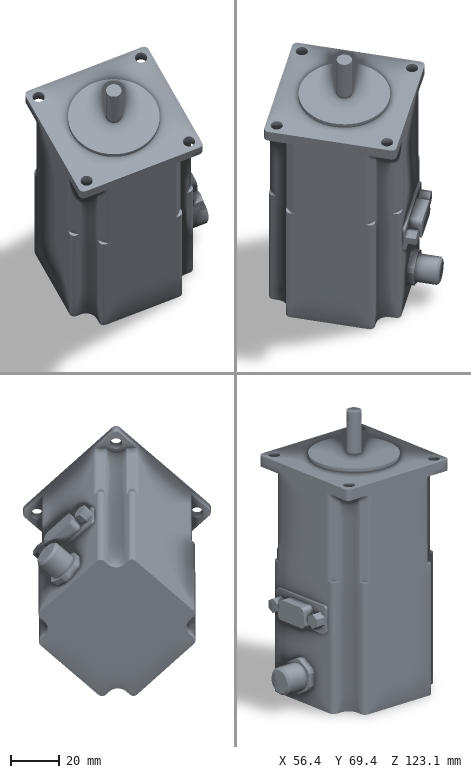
import cadquery as cq
import math

width = 56.4
half_width = width / 2
total_height = 123.1
flange_bottom = 97.4
flange_top = 102.3
flange_corner_radius = 2.1
pilot_diameter = 38.2
pilot_top = 104.1
shaft_diameter = 6.4

hole_diameter = 5.0
hole_offset = 23.5
groove_center = 23.9
groove_radius = 4.9
groove_wall = groove_center - groove_radius

ledge_height = 58.3
ridge_radius = 2.1
bevel_size = 3.2
bevel_blend_radius = 2.2
bevel_start = groove_wall - bevel_size

round_connector_height = 12.5
nut_across_flats = 14.3
nut_corner_diameter = 15.4
nut_length = 3.1
barrel_diameter = 12.0
barrel_length = 13.0
barrel_chamfer = 1.0

d_connector_height = 41.0
plate_width = 31.1
plate_height = 12.7
plate_thickness = 1.2
plate_corner_radius = 1.5
shell_top_width = 14.8
shell_bottom_width = 17.5
shell_height = 9.0
shell_length = 6.5
shell_corner_radius = 2.0
screw_spacing = 25.0
screw_across_flats = 5.5
screw_length = 5.8


def ridge_edges(body, offset):
    """Vertical edges on the outer faces, at the given distance from the middle of the face."""
    def is_match(edge):
        middle = edge.Center()
        near, far = sorted((abs(middle.x), abs(middle.y)))
        return math.isclose(near, offset, abs_tol=0.01) and math.isclose(far, half_width, abs_tol=0.01)

    return body.edges("|Z").filter(is_match)


def grooved_bar(bottom, top):
    """Square bar with a quarter-round groove in each corner."""
    length = top - bottom
    bar = cq.Workplane("XY").workplane(offset=bottom).rect(width, width).extrude(length)
    arc_middle = groove_center - groove_radius * math.sqrt(0.5)
    groove = (
        cq.Workplane("XY")
        .workplane(offset=bottom)
        .moveTo(half_width, groove_wall)
        .lineTo(groove_center, groove_wall)
        .threePointArc((arc_middle, arc_middle), (groove_wall, groove_center))
        .lineTo(groove_wall, half_width)
        .lineTo(half_width, half_width)
        .close()
        .extrude(length)
    )
    for corner in range(4):
        bar = bar.cut(groove.rotate((0, 0, 0), (0, 0, 1), 90 * corner))
    return bar


def lower_body():
    bar = grooved_bar(0, ledge_height)
    return ridge_edges(bar, groove_wall).fillet(ridge_radius)


def upper_body():
    bar = grooved_bar(ledge_height, flange_bottom)
    bar = ridge_edges(bar, groove_wall).chamfer(bevel_size)
    return ridge_edges(bar, bevel_start).fillet(bevel_blend_radius)


def flange():
    return (
        cq.Workplane("XY")
        .workplane(offset=flange_bottom)
        .rect(width, width)
        .extrude(flange_top - flange_bottom)
        .edges("|Z")
        .fillet(flange_corner_radius)
        .faces(">Z")
        .workplane()
        .rect(2 * hole_offset, 2 * hole_offset, forConstruction=True)
        .vertices()
        .hole(hole_diameter)
    )


def pilot_and_shaft():
    pilot = cq.Workplane("XY").workplane(offset=flange_top)
    pilot = pilot.circle(pilot_diameter / 2).extrude(pilot_top - flange_top)
    shaft = cq.Workplane("XY").workplane(offset=pilot_top)
    shaft = shaft.circle(shaft_diameter / 2).extrude(total_height - pilot_top)
    return pilot.union(shaft)


def back_plane(height):
    """Plane on the back face: local x is -X, local y is +Z, extrusion is towards +Y."""
    return cq.Workplane(cq.Plane((0, half_width, height), (-1, 0, 0), (0, 1, 0)))


def hexagon_points(across_flats, center_x=0.0):
    """Corners of a hexagon that stands on a corner."""
    radius = across_flats / math.sqrt(3)
    angles = [math.radians(30 + 60 * corner) for corner in range(6)]
    return [(center_x + radius * math.cos(angle), radius * math.sin(angle)) for angle in angles]


def round_connector():
    plane = back_plane(round_connector_height)
    nut = plane.polyline(hexagon_points(nut_across_flats)).close().extrude(nut_length)
    nut = nut.intersect(plane.circle(nut_corner_diameter / 2).extrude(nut_length))
    barrel = plane.circle(barrel_diameter / 2).extrude(barrel_length)
    barrel = barrel.faces(">Y").edges().chamfer(barrel_chamfer)
    return nut.union(barrel)


def d_connector():
    plane = back_plane(d_connector_height)
    plate = plane.rect(plate_width, plate_height).extrude(plate_thickness)
    plate = plate.edges("|Y").fillet(plate_corner_radius)
    shell_outline = [
        (-shell_bottom_width / 2, -shell_height / 2),
        (shell_bottom_width / 2, -shell_height / 2),
        (shell_top_width / 2, shell_height / 2),
        (-shell_top_width / 2, shell_height / 2),
    ]
    shell = plane.polyline(shell_outline).close().extrude(shell_length)
    connector = plate.union(shell.edges("|Y").fillet(shell_corner_radius))
    for side in (-1, 1):
        outline = hexagon_points(screw_across_flats, side * screw_spacing / 2)
        connector = connector.union(plane.polyline(outline).close().extrude(screw_length))
    return connector


result = (
    lower_body()
    .union(upper_body())
    .union(flange())
    .union(pilot_and_shaft())
    .union(round_connector())
    .union(d_connector())
)